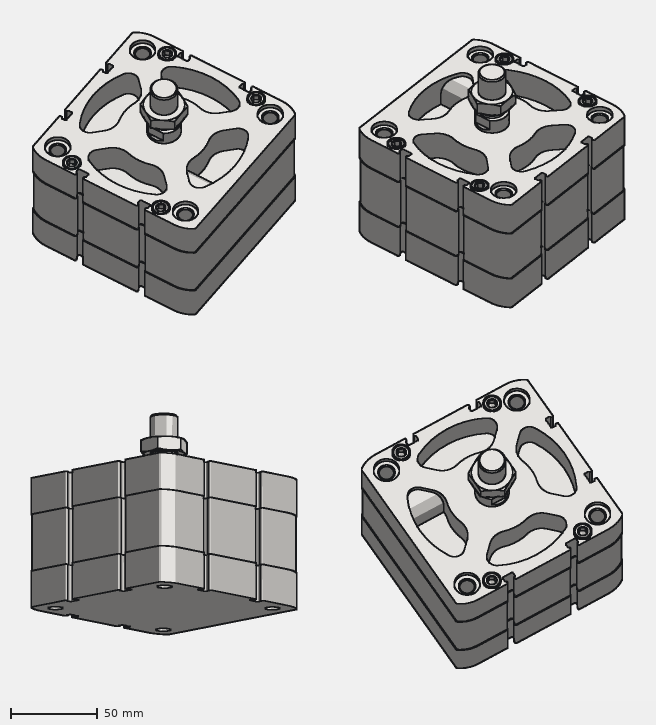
import cadquery as cq
import math

CAP_WIDTH = 113.5
CAP_HEIGHT = 21.5
BARREL_INSET = 0.5
BARREL_HEIGHT = 33.5
HOUSING_HEIGHT = 2 * CAP_HEIGHT + BARREL_HEIGHT
CORNER_RADIUS = 20.0
CORNER_EDGE_FILLET = 1.5

MOUNT_OFFSET = 44.5
MOUNT_HOLE_DIAMETER = 8.57
MOUNT_CHAMFER_DIAMETER = 10.0
MOUNT_COUNTERBORE_DIAMETER = 15.0
MOUNT_COUNTERBORE_DEPTH = 2.8

SCREW_X = 31.0
SCREW_Y = 50.0
SCREW_DIAMETER = 10.7
SCREW_TOP_DIAMETER = 9.0
SCREW_CHAMFER_DEPTH = (SCREW_DIAMETER - SCREW_TOP_DIAMETER) / 2
SOCKET_WIDTH = 5.0
SOCKET_RIM_DIAMETER = 6.0
SOCKET_RIM_ANGLE = 45.0
SOCKET_DEPTH = 4.0
SOCKET_POINT_ANGLE = 140.0

SLOT_OFFSET = 21.5
SLOT_MOUTH_WIDTH = 5.0
SLOT_MOUTH_FILLET = 0.5
SLOT_WIDTH = 7.0
SLOT_LIP = 1.75
SLOT_DEPTH = 5.0
SLOT_CORNER_FILLET = 0.5

POCKET_OUTER_RADIUS = 49.2
HUB_RADIUS = 27.1
SPOKE_WIDTH = 13.5
POCKET_DEPTH = 18.3
POCKET_OUTER_FILLET = 6.0
POCKET_INNER_FILLET = 11.5

PORT_BOSS_RADIUS = 8.0
PORT_BOSS_Y = -20.0
PORT_BOSS_TOP_DEPTH = 2.7

ROD_TOP = 114.0
ROD_DIAMETER = 20.0
ROD_SHOULDER_HEIGHT = 9.0
ROD_FLATS_WIDTH = 17.0
ROD_FLATS_BOTTOM = 2.6
ROD_FLATS_SLOPE_DROP = 0.9
THREAD_DIAMETER = 16.0
THREAD_TIP_DIAMETER = 14.38
THREAD_TIP_HEIGHT = 1.0
NECK_DIAMETER = 13.5
NECK_START = 0.9
NECK_BASE_WIDENING = 0.7
NECK_END = 2.8
NECK_FLARE_HEIGHT = 3.6

NUT_WIDTH = 24.0
NUT_HEIGHT = 8.0
NUT_BOTTOM = 91.5
NUT_CHAMFER_ANGLE = 20.0


def block(half_width, corner_radius, height):
    """Square block whose Y sides roll over into arcs that end on the X sides."""
    center_x = MOUNT_OFFSET
    center_y = half_width - corner_radius
    arc_dx = half_width - center_x
    end_y = center_y + math.sqrt(corner_radius**2 - arc_dx**2)
    mid_angle = (math.pi / 2 + math.atan2(end_y - center_y, arc_dx)) / 2
    mid_x = center_x + corner_radius * math.cos(mid_angle)
    mid_y = center_y + corner_radius * math.sin(mid_angle)
    solid = (
        cq.Workplane("XY")
        .moveTo(-center_x, half_width)
        .lineTo(center_x, half_width)
        .threePointArc((mid_x, mid_y), (half_width, end_y))
        .lineTo(half_width, -end_y)
        .threePointArc((mid_x, -mid_y), (center_x, -half_width))
        .lineTo(-center_x, -half_width)
        .threePointArc((-mid_x, -mid_y), (-half_width, -end_y))
        .lineTo(-half_width, end_y)
        .threePointArc((-mid_x, mid_y), (-center_x, half_width))
        .close()
        .extrude(height)
    )
    return solid.edges("|Z").edges("<X or >X").fillet(CORNER_EDGE_FILLET)


def t_slot(half_width, height):
    """Cutter for one T-slot that opens toward -Y in the plane Y = -half_width."""
    mouth = SLOT_MOUTH_WIDTH / 2
    channel = (
        cq.Workplane("XY")
        .box(SLOT_WIDTH, SLOT_DEPTH - SLOT_LIP, height, centered=(True, False, False))
        .edges("|Z")
        .fillet(SLOT_CORNER_FILLET)
        .translate((0, SLOT_LIP, 0))
    )
    neck = (
        cq.Workplane("XY")
        .moveTo(-mouth - SLOT_MOUTH_FILLET, 0)
        .radiusArc((-mouth, SLOT_MOUTH_FILLET), -SLOT_MOUTH_FILLET)
        .lineTo(-mouth, SLOT_DEPTH)
        .lineTo(mouth, SLOT_DEPTH)
        .lineTo(mouth, SLOT_MOUTH_FILLET)
        .radiusArc((mouth + SLOT_MOUTH_FILLET, 0), -SLOT_MOUTH_FILLET)
        .close()
        .extrude(height)
    )
    return neck.union(channel).translate((0, -half_width, 0))


def slotted_block(half_width, corner_radius, height):
    """One cap or barrel block with two T-slots in each of its -Y, -X and +Y sides."""
    solid = block(half_width, corner_radius, height)
    slot = t_slot(half_width, height)
    for offset in (-SLOT_OFFSET, SLOT_OFFSET):
        for turn in (0, -90, 180):
            solid = solid.cut(slot.translate((offset, 0, 0)).rotate((0, 0, 0), (0, 0, 1), turn))
    return solid


def pocket():
    """Cutter for the pocket on the +X side: a ring sector between two spokes, with rounded corners."""
    spoke_reach = SPOKE_WIDTH / math.sqrt(2)
    far = 2 * POCKET_OUTER_RADIUS
    floor = HOUSING_HEIGHT - POCKET_DEPTH
    ring = cq.Workplane("XY").circle(POCKET_OUTER_RADIUS).circle(HUB_RADIUS).extrude(POCKET_DEPTH)
    sector = (
        cq.Workplane("XY")
        .polyline([(spoke_reach, 0), (spoke_reach + far, far), (spoke_reach + far, -far)])
        .close()
        .extrude(POCKET_DEPTH)
    )
    solid = ring.intersect(sector)
    solid = solid.edges("|Z").edges(">Y or <Y").fillet(POCKET_OUTER_FILLET)
    solid = solid.edges("|Z").edges("<X").fillet(POCKET_INNER_FILLET)
    return solid.translate((0, 0, floor))


def port_boss():
    """Ridge along X on the pocket floor with one rounded edge, clipped to the pocket walls."""
    top = HOUSING_HEIGHT - PORT_BOSS_TOP_DEPTH
    floor = HOUSING_HEIGHT - POCKET_DEPTH
    far = POCKET_OUTER_RADIUS
    ridge = (
        cq.Workplane("XY")
        .box(far, far, top - floor, centered=False)
        .edges(">Y and >Z")
        .fillet(PORT_BOSS_RADIUS)
        .translate((0, PORT_BOSS_Y + PORT_BOSS_RADIUS - far, floor))
    )
    return ridge.intersect(pocket())


def mounting_hole():
    """Cutter for one through hole, chamfered at the floor of its counterbore."""
    hole_radius = MOUNT_HOLE_DIAMETER / 2
    chamfer_radius = MOUNT_CHAMFER_DIAMETER / 2
    bore_radius = MOUNT_COUNTERBORE_DIAMETER / 2
    bore_floor = HOUSING_HEIGHT - MOUNT_COUNTERBORE_DEPTH
    return (
        cq.Workplane("XZ")
        .polyline([
            (0, 0),
            (hole_radius, 0),
            (hole_radius, bore_floor - (chamfer_radius - hole_radius)),
            (chamfer_radius, bore_floor),
            (bore_radius, bore_floor),
            (bore_radius, HOUSING_HEIGHT),
            (0, HOUSING_HEIGHT),
        ])
        .close()
        .revolve(360, (0, 0, 0), (0, 1, 0))
    )


def hexagon(width, height):
    """Hexagonal prism on Z = 0 with two of its flats facing along X."""
    corner_diameter = 2 * width / math.sqrt(3)
    return cq.Workplane("XY").polygon(6, corner_diameter).extrude(height).rotate((0, 0, 0), (0, 0, 1), 90)


def screw_head():
    """Cutters for one screw head: the chamfer groove around it and its pointed hexagon socket."""
    top = HOUSING_HEIGHT
    rim_radius = SOCKET_RIM_DIAMETER / 2
    rim_slope = math.tan(math.radians(SOCKET_RIM_ANGLE))
    point_depth = rim_radius / math.tan(math.radians(SOCKET_POINT_ANGLE / 2))
    groove = (
        cq.Workplane("XZ")
        .polyline([
            (SCREW_TOP_DIAMETER / 2, top),
            (SCREW_DIAMETER / 2, top),
            (SCREW_DIAMETER / 2, top - SCREW_CHAMFER_DEPTH),
        ])
        .close()
        .revolve(360, (0, 0, 0), (0, 1, 0))
    )
    pointed_core = (
        cq.Workplane("XZ")
        .polyline([
            (0, top),
            (rim_radius, top),
            (rim_radius, top - SOCKET_DEPTH),
            (0, top - SOCKET_DEPTH - point_depth),
        ])
        .close()
        .revolve(360, (0, 0, 0), (0, 1, 0))
    )
    socket = pointed_core.intersect(hexagon(SOCKET_WIDTH, top))
    rim_cone = (
        cq.Workplane("XZ")
        .polyline([
            (0, top),
            (rim_radius, top),
            (0, top - rim_radius * rim_slope),
        ])
        .close()
        .revolve(360, (0, 0, 0), (0, 1, 0))
    )
    return groove, socket, rim_cone


def make_housing():
    half_width = CAP_WIDTH / 2
    cap = slotted_block(half_width, CORNER_RADIUS, CAP_HEIGHT)
    barrel = slotted_block(half_width - BARREL_INSET, CORNER_RADIUS - BARREL_INSET, BARREL_HEIGHT)
    body = cap.union(barrel.translate((0, 0, CAP_HEIGHT)))
    body = body.union(cap.translate((0, 0, CAP_HEIGHT + BARREL_HEIGHT)))

    for turn in (0, 90, 180, 270):
        body = body.cut(pocket().rotate((0, 0, 0), (0, 0, 1), turn))
    body = body.union(port_boss())

    for x_side in (-1, 1):
        for y_side in (-1, 1):
            mount_place = (x_side * MOUNT_OFFSET, y_side * MOUNT_OFFSET, 0)
            body = body.cut(mounting_hole().translate(mount_place))
            for cutter in screw_head():
                body = body.cut(cutter.translate((x_side * SCREW_X, y_side * SCREW_Y, 0)))
    return body


def make_rod():
    base = HOUSING_HEIGHT
    shoulder = base + ROD_SHOULDER_HEIGHT
    neck_radius = NECK_DIAMETER / 2
    thread_radius = THREAD_DIAMETER / 2
    rod = (
        cq.Workplane("XZ")
        .polyline([
            (0, base),
            (ROD_DIAMETER / 2, base),
            (ROD_DIAMETER / 2, shoulder),
            (neck_radius + NECK_BASE_WIDENING, shoulder),
            (neck_radius, shoulder + NECK_START),
            (neck_radius, shoulder + NECK_END),
            (thread_radius, shoulder + NECK_END + NECK_FLARE_HEIGHT),
            (thread_radius, ROD_TOP - THREAD_TIP_HEIGHT),
            (THREAD_TIP_DIAMETER / 2, ROD_TOP),
            (0, ROD_TOP),
        ])
        .close()
        .revolve(360, (0, 0, 0), (0, 1, 0))
    )
    flat = ROD_FLATS_WIDTH / 2
    rim = ROD_DIAMETER / 2
    flat_cut = (
        cq.Workplane("YZ")
        .polyline([
            (flat, shoulder),
            (flat, base + ROD_FLATS_BOTTOM),
            (rim, base + ROD_FLATS_BOTTOM - ROD_FLATS_SLOPE_DROP),
            (rim, shoulder),
        ])
        .close()
        .extrude(rim, both=True)
    )
    return rod.cut(flat_cut).cut(flat_cut.mirror("XZ"))


def make_nut():
    corner_radius = NUT_WIDTH / math.sqrt(3)
    face_radius = NUT_WIDTH / 2
    chamfer = (corner_radius - face_radius) * math.tan(math.radians(NUT_CHAMFER_ANGLE))
    prism = hexagon(NUT_WIDTH, NUT_HEIGHT)
    turned = (
        cq.Workplane("XZ")
        .polyline([
            (THREAD_DIAMETER / 2, 0),
            (face_radius, 0),
            (corner_radius, chamfer),
            (corner_radius, NUT_HEIGHT - chamfer),
            (face_radius, NUT_HEIGHT),
            (THREAD_DIAMETER / 2, NUT_HEIGHT),
        ])
        .close()
        .revolve(360, (0, 0, 0), (0, 1, 0))
    )
    return prism.intersect(turned).translate((0, 0, NUT_BOTTOM))


housing = make_housing()
rod = make_rod()
nut = make_nut()

result = cq.Compound.makeCompound([housing.val(), rod.val(), nut.val()])